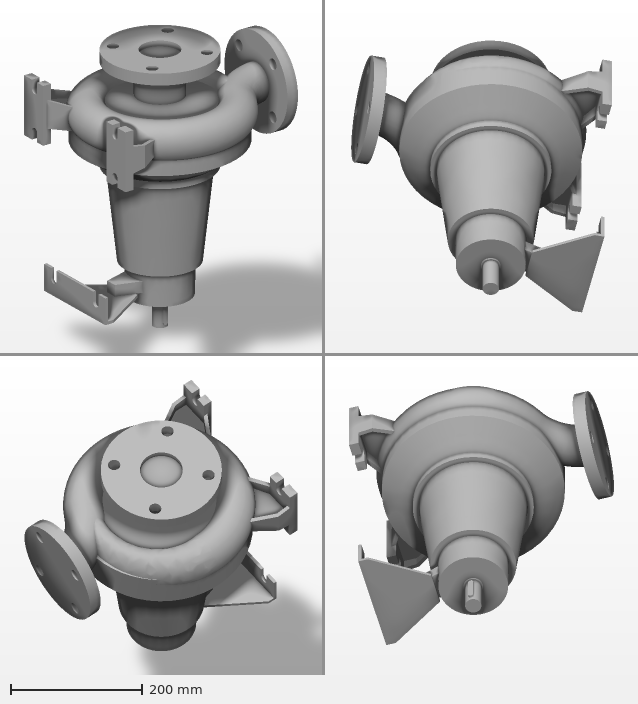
import cadquery as cq
import math


OVERALL_WIDTH = 294.0
OVERALL_HEIGHT = 460

SUCTION_FACE_Z = 100.0
SUCTION_FLANGE_DIA = 185.0
SUCTION_BOLT_CIRCLE = 145.5
SUCTION_PIPE_DIA = 80.0
SUCTION_BORE_DIA = 65.5
SUCTION_BORE_DEPTH = 9.0
DISCHARGE_FACE_Y = 200.0
DISCHARGE_FLANGE_DIA = 165.0
DISCHARGE_BOLT_CIRCLE = 125.0
FLANGE_THICK = 20.0
BOLT_HOLE_DIA = 19.0
BOLT_COUNT = 4
BOLT_START_ANGLE = 45

TUBE_R = 32.0
VOLUTE_R = OVERALL_WIDTH / 2 - TUBE_R
VOLUTE_X = 5.0
TONGUE_OUTER_R = 135.2
TONGUE_END_HALF_WIDTH = 20.2
TONGUE_END_HALF_HEIGHT = 28.5
TONGUE_SECTIONS = 5

CASING_R = 140.0
CASING_EDGE_Z = 6.5
CASING_BOTTOM_Z = -50.0
COVER_APEX_Z = 32.0
COLLAR_R = SUCTION_FLANGE_DIA / 2
COLLAR_TOP_Z = -80.5
COLLAR_BOTTOM_Z = -93.0
HOUSING_TOP_R = 83.3
HOUSING_BOTTOM_R = 66.0
HOUSING_BOTTOM_Z = -250.5
BEARING_TOP_R = 54.7
BEARING_BOTTOM_R = 53.5
BEARING_BOTTOM_Z = -307.0

SHAFT_R = 12.5
SHAFT_END_Z = SUCTION_FACE_Z - OVERALL_HEIGHT
SHAFT_COLLAR_R = 15.0
SHAFT_COLLAR_LENGTH = 2.8
KEY_WIDTH = 8.0
KEY_LENGTH = 41.5
KEY_OUTER_X = 15.5
KEY_END_GAP = 5.5

MOUNT_Y = -160.0
PAD_WIDTH = 50.0
PAD_HEIGHT = 100.0
PAD_THICK = 14.5
PAD_INNER_X = 83.0
PAD_SLOT_X = 105.5
PAD_SLOT_DEPTH = 21.5
SLOT_WIDTH = 14.0
FOOT_WALL = 6.0
FOOT_ANGLE = 60
FOOT_FRONT_Y = MOUNT_Y + PAD_THICK - FOOT_WALL / math.sin(math.radians(FOOT_ANGLE))
FOOT_BEND_Y = -123.5
FOOT_BACK_Y = -83.0
FOOT_HEIGHT_AT_FRONT = 47.0
FOOT_HEIGHT_AT_BACK = 24.0

BRACKET_BOTTOM_Z = -290.5
BRACKET_WIDTH = 160.5
BRACKET_HEIGHT = 44.5
BRACKET_THICK = 5.0
BRACKET_SLOT_SPACING = 110.0
BRACKET_SLOT_DEPTH = 24.0
BRACKET_BEND_Y = -145.0
BRACKET_BACK_Y = -60.0
BRACKET_BACK_WIDTH = 49.5
LUG_HEIGHT = 19.5
LUG_FRONT_Y = -92.0
LUG_FRONT_WIDTH = 20.2
LUG_BACK_Y = -48.5
LUG_BACK_WIDTH = 47.0


def bolt_pattern(workplane, circle_dia):
    """Bolt hole centres evenly spaced about a flange, clear of its main axes."""
    return workplane.polarArray(circle_dia / 2, BOLT_START_ANGLE, 360, BOLT_COUNT)


def axial_body():
    """Cover, casing, bearing housing and shaft as one revolved profile."""
    shaft_collar_z = BEARING_BOTTOM_Z - SHAFT_COLLAR_LENGTH
    profile = [
        (0, COVER_APEX_Z),
        (CASING_R, CASING_EDGE_Z),
        (CASING_R, CASING_BOTTOM_Z),
        (COLLAR_R, COLLAR_TOP_Z),
        (COLLAR_R, COLLAR_BOTTOM_Z),
        (HOUSING_TOP_R, COLLAR_BOTTOM_Z),
        (HOUSING_BOTTOM_R, HOUSING_BOTTOM_Z),
        (BEARING_TOP_R, HOUSING_BOTTOM_Z),
        (BEARING_BOTTOM_R, BEARING_BOTTOM_Z),
        (SHAFT_COLLAR_R, BEARING_BOTTOM_Z),
        (SHAFT_COLLAR_R, shaft_collar_z),
        (SHAFT_R, shaft_collar_z),
        (SHAFT_R, SHAFT_END_Z),
        (0, SHAFT_END_Z),
    ]
    return cq.Workplane("XZ").polyline(profile).close().revolve(360, (0, 0), (0, 1))


def shaft_key():
    """Round-ended key on the +X side of the shaft."""
    centre_z = SHAFT_END_Z + KEY_END_GAP + KEY_LENGTH / 2
    return (
        cq.Workplane("YZ")
        .center(0, centre_z)
        .slot2D(KEY_LENGTH, KEY_WIDTH, 90)
        .extrude(KEY_OUTER_X)
    )


def suction_nozzle():
    """Suction flange on its straight pipe, with a shallow bore in the face."""
    flange_back_z = SUCTION_FACE_Z - FLANGE_THICK
    flange = (
        cq.Workplane("XY", origin=(0, 0, flange_back_z))
        .circle(SUCTION_FLANGE_DIA / 2)
        .extrude(FLANGE_THICK)
    )
    holes = bolt_pattern(flange.faces(">Z").workplane(), SUCTION_BOLT_CIRCLE)
    flange = holes.hole(BOLT_HOLE_DIA)
    pipe = cq.Workplane("XY").circle(SUCTION_PIPE_DIA / 2).extrude(flange_back_z)
    bore = (
        cq.Workplane("XY", origin=(0, 0, SUCTION_FACE_Z))
        .circle(SUCTION_BORE_DIA / 2)
        .extrude(-SUCTION_BORE_DEPTH)
    )
    return flange.union(pipe).cut(bore)


def tube_arc(start_x, start_y, centre_x, angle):
    """Tube bent about a vertical axis, counterclockwise from its start."""
    offset = centre_x - start_x
    return (
        cq.Workplane("XZ", origin=(start_x, start_y, 0))
        .circle(TUBE_R)
        .revolve(angle, (offset, 0), (offset, 1))
    )


def tongue(start_x, end_angle):
    """Flattening tube that closes the scroll, its outer side following a circle."""
    centre_x = start_x - TUBE_R + TONGUE_OUTER_R
    sections = []
    for index in range(TONGUE_SECTIONS):
        progress = index / (TONGUE_SECTIONS - 1)
        angle = math.radians(180 + progress * (end_angle - 180))
        half_width = TUBE_R + progress * (TONGUE_END_HALF_WIDTH - TUBE_R)
        half_height = TUBE_R + progress * (TONGUE_END_HALF_HEIGHT - TUBE_R)
        middle_r = TONGUE_OUTER_R - half_width
        radial = cq.Vector(math.cos(angle), math.sin(angle), 0)
        plane = cq.Plane(
            origin=cq.Vector(centre_x, 0, 0) + radial * middle_r,
            xDir=(0, 0, -1),
            normal=(math.sin(angle), -math.cos(angle), 0),
        )
        sections.append(cq.Workplane(plane).ellipse(half_height, half_width).wires().val())
    return cq.Workplane(cq.Solid.makeLoft(sections))


def volute():
    """Scroll, tongue that closes it, and the bend to the discharge flange."""
    bend_r = (
        (DISCHARGE_FACE_Y**2 + VOLUTE_X**2 - VOLUTE_R**2)
        / (2 * (VOLUTE_R + VOLUTE_X))
    )
    scroll_end = math.degrees(math.atan2(DISCHARGE_FACE_Y, bend_r - VOLUTE_X))
    scroll_start_x = VOLUTE_X - VOLUTE_R
    scroll = tube_arc(scroll_start_x, 0, VOLUTE_X, 180 + scroll_end)
    bend = tube_arc(0, DISCHARGE_FACE_Y, bend_r, scroll_end)
    return scroll.union(tongue(scroll_start_x, scroll_end)).union(bend)


def discharge_flange():
    """Blank-faced flange on the end of the volute bend."""
    flange = (
        cq.Workplane("XZ", origin=(0, DISCHARGE_FACE_Y, 0))
        .circle(DISCHARGE_FLANGE_DIA / 2)
        .extrude(FLANGE_THICK)
    )
    holes = bolt_pattern(flange.faces(">Y").workplane(), DISCHARGE_BOLT_CIRCLE)
    return holes.hole(BOLT_HOLE_DIA)


def edge_slot(x, edge_z, depth, direction):
    """Cutter for a round-bottomed slot, open at edge_z and running along direction."""
    round_z = edge_z + direction * (depth - SLOT_WIDTH / 2)
    return (
        cq.Workplane("XZ", origin=(x, MOUNT_Y, 0))
        .center(0, round_z - direction * depth / 2)
        .slot2D(depth + SLOT_WIDTH, SLOT_WIDTH, 90)
        .extrude(-PAD_THICK)
    )


def foot_plan(inset):
    """Plan of the +X foot between its two walls, shrunk inwards by inset."""
    front_y = FOOT_FRONT_Y + inset / math.sin(math.radians(FOOT_ANGLE))
    outer_x = PAD_INNER_X + PAD_WIDTH
    slope = math.tan(math.radians(FOOT_ANGLE))
    run = FOOT_BACK_Y - FOOT_BEND_Y
    bend_shift = inset * math.tan(math.radians((90 - FOOT_ANGLE) / 2))
    outer_bend = (outer_x - inset, FOOT_BEND_Y - bend_shift)
    outer_back = (outer_bend[0] - (run + bend_shift) / slope, FOOT_BACK_Y)
    inner_back = (PAD_INNER_X - (FOOT_BACK_Y - front_y) * slope, FOOT_BACK_Y)
    inner_front = (PAD_INNER_X, front_y)
    outer_front = (outer_x - inset, front_y)
    return [outer_front, outer_bend, outer_back, inner_back, inner_front]


def foot():
    """Slotted pad and hollow arm of the +X volute foot, tapering towards the casing."""
    pad = cq.Workplane("XY").box(PAD_WIDTH, PAD_THICK, PAD_HEIGHT).translate(
        (PAD_INNER_X + PAD_WIDTH / 2, MOUNT_Y + PAD_THICK / 2, 0)
    )
    for side in (-1, 1):
        pad = pad.cut(edge_slot(PAD_SLOT_X, side * PAD_HEIGHT / 2, PAD_SLOT_DEPTH, -side))

    arm = cq.Workplane("XY").polyline(foot_plan(0)).close().extrude(PAD_HEIGHT / 2, both=True)
    pocket = (
        cq.Workplane("XY", origin=(0, 0, FOOT_WALL / 2))
        .polyline(foot_plan(FOOT_WALL))
        .close()
        .extrude(PAD_HEIGHT)
    )
    pocket = pocket.union(pocket.mirror("XY"))
    taper = (
        cq.Workplane("YZ")
        .polyline([
            (FOOT_FRONT_Y, -FOOT_HEIGHT_AT_FRONT / 2),
            (FOOT_FRONT_Y, FOOT_HEIGHT_AT_FRONT / 2),
            (FOOT_BACK_Y, FOOT_HEIGHT_AT_BACK / 2),
            (FOOT_BACK_Y, -FOOT_HEIGHT_AT_BACK / 2),
        ])
        .close()
        .extrude(OVERALL_WIDTH / 2, both=True)
    )
    return pad.union(arm.cut(pocket).intersect(taper))


def bearing_bracket():
    """Bent sheet bracket and the lug that joins it to the bearing housing."""
    plate_top_z = BRACKET_BOTTOM_Z + BRACKET_THICK
    upright = (
        cq.Workplane("XY", origin=(0, MOUNT_Y + BRACKET_THICK / 2, BRACKET_BOTTOM_Z))
        .rect(BRACKET_WIDTH, BRACKET_THICK)
        .extrude(BRACKET_HEIGHT)
    )
    for side in (-1, 1):
        slot_x = side * BRACKET_SLOT_SPACING / 2
        top_z = BRACKET_BOTTOM_Z + BRACKET_HEIGHT
        upright = upright.cut(edge_slot(slot_x, top_z, BRACKET_SLOT_DEPTH, -1))
    plate = (
        cq.Workplane("XY", origin=(0, 0, BRACKET_BOTTOM_Z))
        .polyline([
            (-BRACKET_WIDTH / 2, MOUNT_Y),
            (BRACKET_WIDTH / 2, MOUNT_Y),
            (BRACKET_WIDTH / 2, BRACKET_BEND_Y),
            (BRACKET_BACK_WIDTH / 2, BRACKET_BACK_Y),
            (-BRACKET_BACK_WIDTH / 2, BRACKET_BACK_Y),
            (-BRACKET_WIDTH / 2, BRACKET_BEND_Y),
        ])
        .close()
        .extrude(BRACKET_THICK)
    )
    lug = (
        cq.Workplane("XY", origin=(0, 0, plate_top_z))
        .polyline([
            (-LUG_FRONT_WIDTH / 2, LUG_FRONT_Y),
            (LUG_FRONT_WIDTH / 2, LUG_FRONT_Y),
            (LUG_BACK_WIDTH / 2, LUG_BACK_Y),
            (-LUG_BACK_WIDTH / 2, LUG_BACK_Y),
        ])
        .close()
        .extrude(LUG_HEIGHT)
    )
    return upright.union(plate).union(lug)


right_foot = foot()
result = (
    axial_body()
    .union(volute())
    .union(suction_nozzle())
    .union(discharge_flange())
    .union(shaft_key())
    .union(right_foot)
    .union(right_foot.mirror("YZ"))
    .union(bearing_bracket())
)